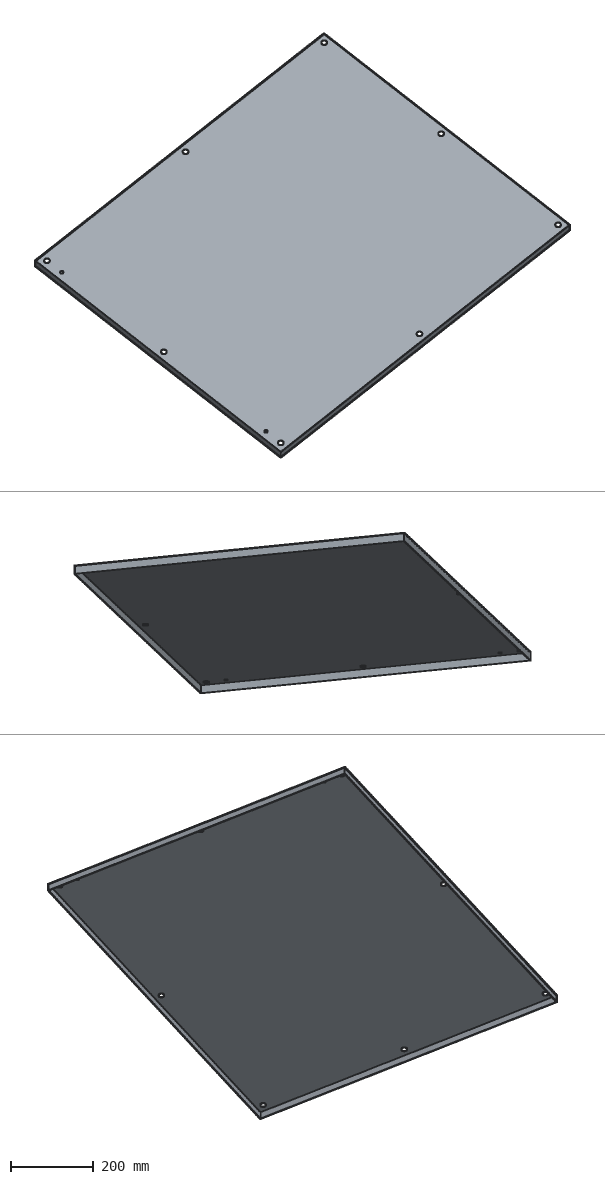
import cadquery as cq

width = 838.0
length = 991.0
height = 22.0
sheet = 2.0
bend_radius = 2.0

mount_diameter = 14.0
mount_inset = 21.0
mount_x = width / 2 - mount_inset
mount_y = length / 2 - mount_inset

small_diameter = 8.0
small_x = 348.0
small_y = -mount_y


def make_tray():
    """Panel with a down-turned flange on each side, rounded over along the two Y sides."""
    outer = cq.Workplane("XY").box(width, length, height)
    outer = outer.faces(">Z").edges("|X").fillet(bend_radius)
    inner = (
        cq.Workplane("XY")
        .box(width - 2 * sheet, length - 2 * sheet, height)
        .translate((0, 0, -sheet))
    )
    return outer.cut(inner)


def drill(points, diameter):
    """Vertical cutters through the whole height at the given points."""
    return cq.Workplane("XY").pushPoints(points).circle(diameter / 2).extrude(height, both=True)


mount_points = [
    (column * mount_x, row * mount_y)
    for column in (-1, 0, 1)
    for row in (-1, 0, 1)
    if (column, row) != (0, 0)
]
small_points = [(side * small_x, small_y) for side in (-1, 1)]

result = make_tray().cut(drill(mount_points, mount_diameter)).cut(drill(small_points, small_diameter))